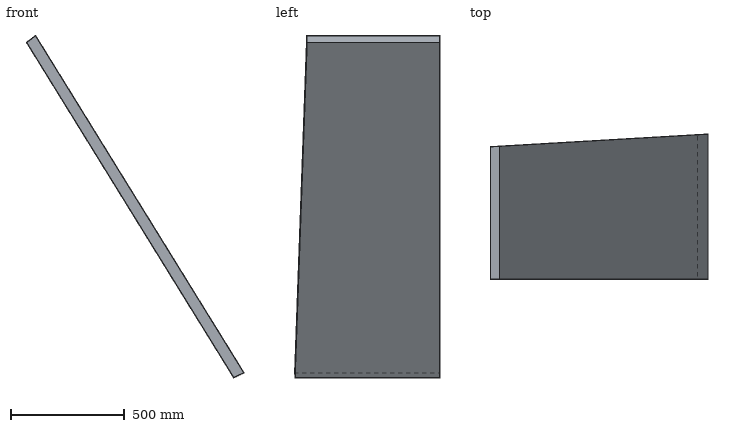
import cadquery as cq
import math

size_x = 955.43
size_y = 638.35
size_z = 1503.37

thickness = 50.0
upper_end_tilt = 37.5
lower_end_tilt = 26.0

back_taper = 55.6

least_lean = 45
greatest_lean = 75
halvings = 60


def end_face_offset(lean, tilt_degrees):
    """Run and rise across an end face of the given slope."""
    tilt = math.radians(tilt_degrees)
    length = thickness / math.sin(lean + tilt)
    return length * math.cos(tilt), length * math.sin(tilt)


def find_lean():
    """Lean from horizontal (radians) at which the section fills the envelope."""
    low = math.radians(least_lean)
    high = math.radians(greatest_lean)
    for _ in range(halvings):
        lean = (low + high) / 2
        upper_run = end_face_offset(lean, upper_end_tilt)[0]
        lower_rise = end_face_offset(lean, lower_end_tilt)[1]
        if math.atan2(size_z - lower_rise, size_x - upper_run) > lean:
            low = lean
        else:
            high = lean
    return lean


def make_slab():
    """Section of the panel, extruded along Y over the full width."""
    lean = find_lean()
    upper_run, upper_rise = end_face_offset(lean, upper_end_tilt)
    lower_run, lower_rise = end_face_offset(lean, lower_end_tilt)
    section = [
        (0, size_z - upper_rise),
        (upper_run, size_z),
        (size_x, lower_rise),
        (size_x - lower_run, 0),
    ]
    return cq.Workplane("XZ").polyline(section).close().extrude(-size_y)


def make_plan():
    """Plan outline with the tapered +Y side, extruded upright to full height."""
    outline = [
        (0, 0),
        (size_x, 0),
        (size_x, size_y),
        (0, size_y - back_taper),
    ]
    return cq.Workplane("XY").polyline(outline).close().extrude(size_z)


result = make_slab().intersect(make_plan())